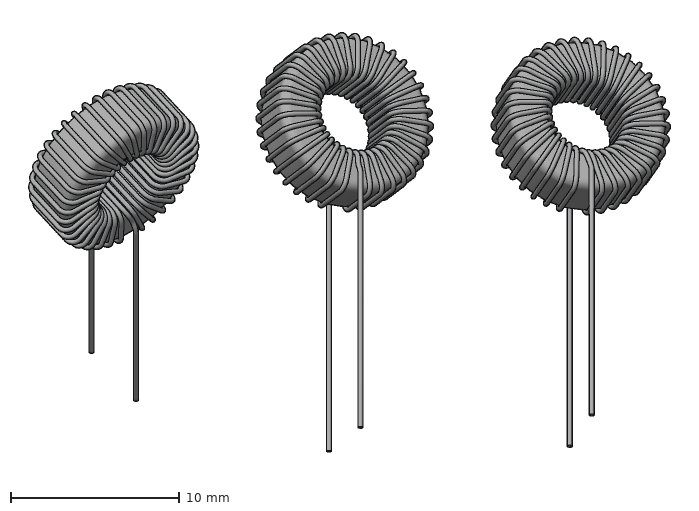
import cadquery as cq
import math

CORE_DIAMETER = 9.73
BORE_DIAMETER = 5.0
CORE_WIDTH = 3.49
CORE_FILLET = 0.5

WIRE_DIAMETER = 0.3
WIRE_GAP = 0.008
PITCH_COUNT = 36
PITCH_ANGLE = 360.0 / PITCH_COUNT

LEAD_SPACING = 4.5
LEAD_STEP_START = 3.29
LEAD_STEP_END = 3.8
LEAD_BEND_RADIUS = 0.88
OVERALL_HEIGHT = 25.27

WIRE_OFFSET = WIRE_DIAMETER / 2 + WIRE_GAP
OUTER_RADIUS = CORE_DIAMETER / 2 + WIRE_OFFSET
INNER_RADIUS = BORE_DIAMETER / 2 - WIRE_OFFSET
SIDE_X = CORE_WIDTH / 2 + WIRE_OFFSET
TURN_BEND_RADIUS = CORE_FILLET + WIRE_OFFSET
LEAD_X = LEAD_SPACING / 2
LEAD_TIP_DEPTH = OVERALL_HEIGHT - OUTER_RADIUS - WIRE_DIAMETER / 2


def make_core():
    """Rectangular-section ring with all four rims rounded."""
    ring = (
        cq.Workplane("YZ", origin=(-CORE_WIDTH / 2, 0, 0))
        .circle(CORE_DIAMETER / 2)
        .circle(BORE_DIAMETER / 2)
        .extrude(CORE_WIDTH)
    )
    return ring.faces("<X or >X").edges().fillet(CORE_FILLET)


def ring_point(x, radius, step):
    """Point at a radius about the X axis, a number of pitch steps from the bottom toward +Y."""
    angle = math.radians(step * PITCH_ANGLE)
    return cq.Vector(x, radius * math.sin(angle), -radius * math.cos(angle))


def lead_corners(side):
    """Corners of one lead from its step to its tip; side is -1 or +1 along X."""
    return [
        (cq.Vector(side * SIDE_X, 0, -LEAD_STEP_START), LEAD_BEND_RADIUS),
        (cq.Vector(side * LEAD_X, 0, -LEAD_STEP_END), LEAD_BEND_RADIUS),
        (cq.Vector(side * LEAD_X, 0, -LEAD_TIP_DEPTH), 0),
    ]


def winding_corners():
    """Corners of the wire centre line, each with its bend radius, from the -X lead to the +X lead.

    The wire runs radially inward on the -X face, through the bore, and slants
    by one pitch on its way out across the +X face.
    """
    corners = lead_corners(-1)[::-1]
    for step in range(PITCH_COUNT):
        if step > 0:
            corners.append((ring_point(SIDE_X, OUTER_RADIUS, step), TURN_BEND_RADIUS))
            corners.append((ring_point(-SIDE_X, OUTER_RADIUS, step), TURN_BEND_RADIUS))
        corners.append((ring_point(-SIDE_X, INNER_RADIUS, step), TURN_BEND_RADIUS))
        corners.append((ring_point(SIDE_X, INNER_RADIUS, step), TURN_BEND_RADIUS))
    return corners + lead_corners(1)


def rounded_path(corners):
    """Wire through the corners, with a tangent arc of the given radius at each inner corner."""
    edges = []
    position = corners[0][0]
    for index in range(1, len(corners) - 1):
        corner, radius = corners[index]
        incoming = (corner - corners[index - 1][0]).normalized()
        outgoing = (corners[index + 1][0] - corner).normalized()
        half_turn = incoming.getAngle(outgoing) / 2
        setback = radius * math.tan(half_turn)
        arc_start = corner - incoming * setback
        arc_end = corner + outgoing * setback
        toward_centre = (outgoing - incoming).normalized()
        arc_middle = corner + toward_centre * (radius / math.cos(half_turn) - radius)
        edges.append(cq.Edge.makeLine(position, arc_start))
        edges.append(cq.Edge.makeThreePointArc(arc_start, arc_middle, arc_end))
        position = arc_end
    edges.append(cq.Edge.makeLine(position, corners[-1][0]))
    return cq.Wire.assembleEdges(edges)


def make_winding():
    """Round wire swept along the winding, starting at the tip of the -X lead."""
    path = rounded_path(winding_corners())
    lead_tip = (-LEAD_X, 0, -LEAD_TIP_DEPTH)
    return cq.Workplane("XY", origin=lead_tip).circle(WIRE_DIAMETER / 2).sweep(cq.Workplane(path))


core = make_core()
winding = make_winding()
result = cq.Compound.makeCompound([core.val(), winding.val()])